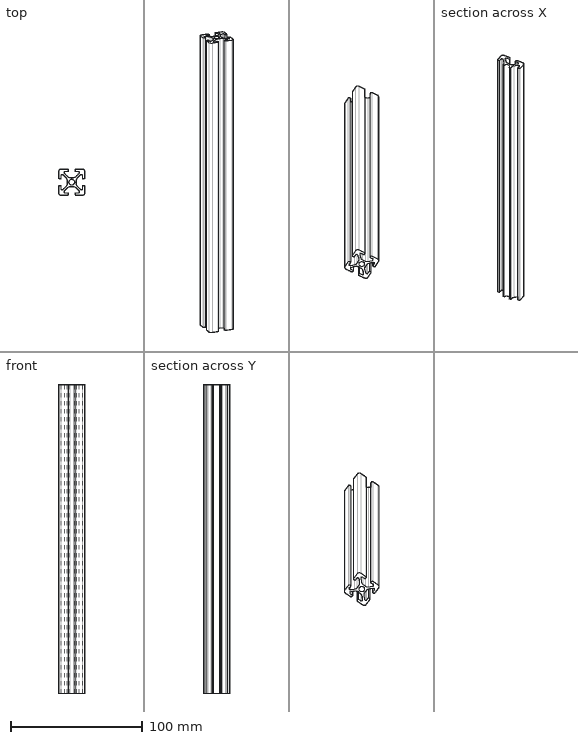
import cadquery as cq
import math

length = 235.0
width = 20.0
half_width = width / 2

corner_radius = 1.9
mouth_width = 5.2
lip_thickness = 1.9
lip_radius = 0.7
cavity_half_width = 5.6
cavity_radius = 0.5
rib_thickness = 1.6
core_half_width = 3.5
core_blend_radius = 2.8
bore_diameter = 4.2

clearance = 2.4


def slot_cutter():
    """T-slot that opens on the +Y face, with rounded blends at its floor and cavity corners."""
    mouth = mouth_width / 2
    lip_inside = half_width - lip_thickness
    rib_offset = rib_thickness / math.sqrt(2)
    floor_corner = core_half_width - rib_offset
    top = half_width + clearance

    floor_points = [(-floor_corner, core_half_width), (floor_corner, core_half_width)]
    right_side = [
        (cavity_half_width, cavity_half_width + rib_offset),
        (cavity_half_width, lip_inside),
        (mouth, lip_inside),
        (mouth, top),
    ]
    left_side = [(-x, y) for x, y in reversed(right_side)]
    cutter = cq.Workplane("XY").polyline(floor_points + right_side + left_side).close().extrude(length)

    floor_edges = cq.selectors.BoxSelector(
        (-mouth_width, core_half_width - lip_radius, 0),
        (mouth_width, core_half_width + lip_radius, length),
    )
    cutter = cutter.edges("|Z").edges(floor_edges).fillet(core_blend_radius)
    for side in (-1, 1):
        cavity_edges = cq.selectors.BoxSelector(
            (side * (cavity_half_width - cavity_radius), core_half_width, 0),
            (side * (cavity_half_width + cavity_radius), half_width, length),
        )
        cutter = cutter.edges("|Z").edges(cavity_edges).fillet(cavity_radius)
    return cutter


def round_lips(body):
    """Round the outer edge of both lips beside the slot in the +Y face."""
    reach = mouth_width / 2 + lip_radius
    lip_edges = cq.selectors.BoxSelector(
        (-reach, half_width - lip_radius, 0),
        (reach, half_width + lip_radius, length),
    )
    return body.edges("|Z").edges(lip_edges).fillet(lip_radius)


def rotate_about_axis(body, angle):
    return body.rotate((0, 0, 0), (0, 0, 1), angle)


result = cq.Workplane("XY").rect(width, width).extrude(length)
result = result.edges("|Z").fillet(corner_radius)
result = result.faces(">Z").workplane().hole(bore_diameter)

slot = slot_cutter()
for angle in (0, 90, 180, 270):
    result = result.cut(rotate_about_axis(slot, angle))

for _ in range(4):
    result = rotate_about_axis(round_lips(result), 90)